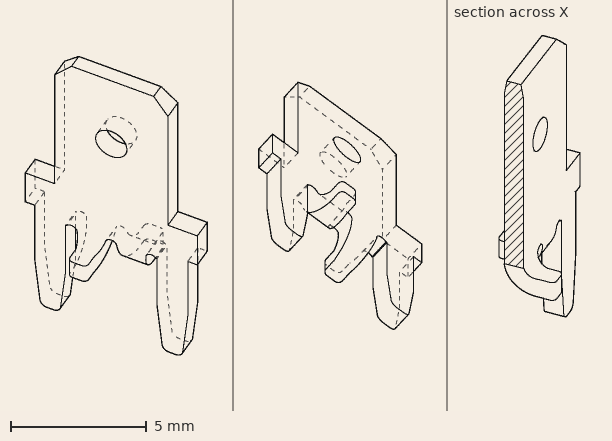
import cadquery as cq
import math

height = 12.95
thickness = 0.8
half_thickness = thickness / 2

tab_width = 4.7
tab_chamfer = 0.65
tab_tip_thickness = 0.58
hole_diameter = 1.3
hole_height = 9.78

shoulder_width = 7.14
shoulder_top = 6.62
shoulder_bottom = 5.1

leg_outer = 3.17
leg_inner = 1.89
leg_taper_height = 2.24
leg_tip_half_width = 0.4
leg_tip_radius = 0.3
leg_center = (leg_outer + leg_inner) / 2

notch_top = 4.75
notch_radius = 0.23
notch_center_height = notch_top - notch_radius
notch_offset = leg_inner - notch_radius

bend_height = 4.65
bend_inner_radius = 0.5
bend_mid_radius = bend_inner_radius + half_thickness
bend_outer_radius = bend_inner_radius + thickness
bend_axis_y = -half_thickness - bend_inner_radius
tongue_center = notch_offset / 2
tongue_root_half_width = tongue_center - notch_radius
tongue_end_half_width = 0.39
tongue_end_y = -1.54
tongue_corner_radius = 0.2
sections_per_loft = 6

root_length = bend_height - notch_center_height
bend_length = bend_mid_radius * math.pi / 2


def leg(side):
    """Tapered leg with a rounded tip; side is -1 or +1."""
    outline = [
        (side * leg_outer, shoulder_bottom),
        (side * leg_outer, leg_taper_height),
        (side * (leg_center + leg_tip_half_width), 0),
        (side * (leg_center - leg_tip_half_width), 0),
        (side * leg_inner, leg_taper_height),
        (side * leg_inner, shoulder_bottom),
    ]
    body = cq.Workplane("XZ").polyline(outline).close().extrude(half_thickness, both=True)
    return body.faces("<Z").edges("|Y").fillet(leg_tip_radius)


def blade():
    """Tab and shoulders, with the tab tip thinned and its corners cut."""
    half_tab = tab_width / 2
    half_shoulder = shoulder_width / 2
    chamfer_start = height - tab_chamfer
    right_side = [
        (leg_inner, bend_height),
        (leg_inner, shoulder_bottom),
        (half_shoulder, shoulder_bottom),
        (half_shoulder, shoulder_top),
        (half_tab, shoulder_top),
        (half_tab, chamfer_start),
        (half_tab - tab_chamfer, height),
    ]
    left_side = [(-x, z) for x, z in reversed(right_side)]
    body = cq.Workplane("XZ").polyline(right_side + left_side).close()
    body = body.extrude(half_thickness, both=True)

    side_outline = [
        (-half_thickness, 0),
        (half_thickness, 0),
        (half_thickness, chamfer_start),
        (tab_tip_thickness / 2, height),
        (-tab_tip_thickness / 2, height),
        (-half_thickness, chamfer_start),
    ]
    envelope = cq.Workplane("YZ").polyline(side_outline).close()
    body = body.intersect(envelope.extrude(half_shoulder, both=True))

    hole = cq.Workplane("XZ").center(0, hole_height).circle(hole_diameter / 2)
    return body.cut(hole.extrude(thickness, both=True))


def notches():
    """Rounded tops of the three notches."""
    centers = [(x, notch_center_height) for x in (-notch_offset, 0, notch_offset)]
    return cq.Workplane("XZ").pushPoints(centers).circle(notch_radius).extrude(thickness, both=True)


def tongue_half_width(length):
    """Half width at a developed length: notch arc first, then a straight taper."""
    if length < root_length:
        return tongue_center - math.sqrt(notch_radius**2 - (root_length - length) ** 2)
    travel = (length - root_length) / (bend_length - root_length)
    return tongue_root_half_width + travel * (tongue_end_half_width - tongue_root_half_width)


def bend_section(length):
    """Radial cross-section of the bend at a developed length."""
    angle = length / bend_mid_radius
    half_width = tongue_half_width(length)

    def corner(side, radius):
        y = bend_axis_y + radius * math.cos(angle)
        z = bend_height - radius * math.sin(angle)
        return cq.Vector(side * half_width - tongue_center, y, z)

    corners = [
        corner(-1, bend_inner_radius),
        corner(1, bend_inner_radius),
        corner(1, bend_outer_radius),
        corner(-1, bend_outer_radius),
    ]
    return cq.Wire.makePolygon(corners, close=True)


def bend(start, end):
    """Smooth stretch of the bend between two developed lengths."""
    step = (end - start) / sections_per_loft
    wires = [bend_section(start + i * step) for i in range(sections_per_loft + 1)]
    return cq.Workplane(cq.Solid.makeLoft(wires))


def tongue():
    """Left tongue, bent towards -Y and ending in a flat rounded tip."""
    tip_length = bend_axis_y - tongue_end_y
    tip_top = bend_height - bend_inner_radius
    tip = cq.Workplane("XY").box(2 * tongue_end_half_width, tip_length, thickness)
    tip = tip.faces("<Y").edges("|Z").fillet(tongue_corner_radius)
    tip = tip.translate((-tongue_center, tongue_end_y + tip_length / 2, tip_top - half_thickness))
    return bend(0, root_length).union(bend(root_length, bend_length)).union(tip)


left_tongue = tongue()
right_tongue = left_tongue.rotate((0, 0, 0), (0, 0, 1), 180)

result = blade().union(leg(-1)).union(leg(1)).cut(notches())
result = result.union(left_tongue).union(right_tongue).clean()